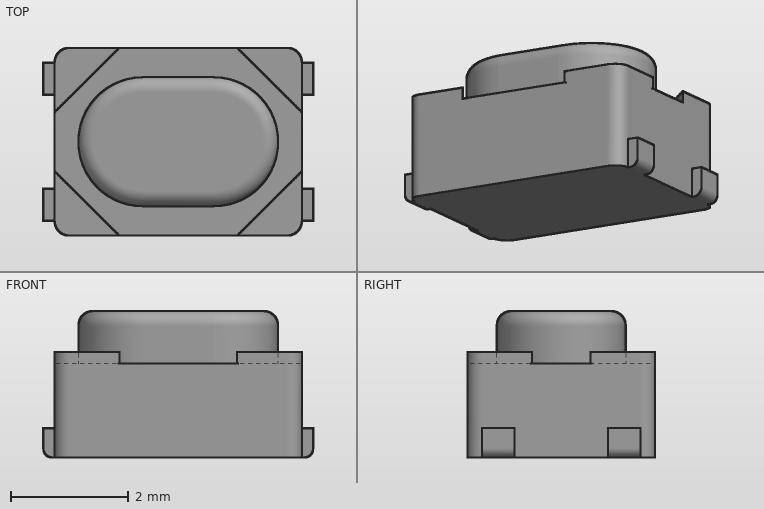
import cadquery as cq

overall_length = 4.6
body_length = 4.22
body_width = 3.2
body_height = 1.8
corner_radius = 0.255

recess_floor = 1.6
recess_opening_x = 2.005
recess_opening_y = 1.005

button_length = 3.405
button_width = 2.2
button_top = 2.5
button_edge_radius = 0.25

terminal_inner_y = 0.8
terminal_width = 0.547
terminal_height = 0.5
terminal_edge_radius = 0.15


def make_body():
    """Rounded block up to the recess floor, with four raised corner triangles."""
    block = (
        cq.Workplane("XY")
        .box(body_length, body_width, body_height, centered=(True, True, False))
        .edges("|Z")
        .fillet(corner_radius)
    )
    half_length = body_length / 2
    half_width = body_width / 2
    half_opening_x = recess_opening_x / 2
    half_opening_y = recess_opening_y / 2
    recess = (
        cq.Workplane("XY")
        .workplane(offset=recess_floor)
        .moveTo(half_opening_x, half_width)
        .lineTo(half_length, half_opening_y)
        .lineTo(half_length, -half_opening_y)
        .lineTo(half_opening_x, -half_width)
        .lineTo(-half_opening_x, -half_width)
        .lineTo(-half_length, -half_opening_y)
        .lineTo(-half_length, half_opening_y)
        .lineTo(-half_opening_x, half_width)
        .close()
        .extrude(body_height - recess_floor)
    )
    return block.cut(recess)


def make_button():
    """Oblong button standing on the recess floor, with a rounded top edge."""
    return (
        cq.Workplane("XY")
        .workplane(offset=recess_floor)
        .slot2D(button_length, button_width)
        .extrude(button_top - recess_floor)
        .faces(">Z")
        .edges()
        .fillet(button_edge_radius)
    )


def make_terminal_pair(side_y):
    """Bar through the body whose two ends form opposite terminals."""
    center_y = side_y * (terminal_inner_y + terminal_width / 2)
    return (
        cq.Workplane("XY")
        .center(0, center_y)
        .box(overall_length, terminal_width, terminal_height, centered=(True, True, False))
        .edges("|Y and <Z")
        .fillet(terminal_edge_radius)
    )


result = make_body().union(make_button())
for side_y in (-1, 1):
    result = result.union(make_terminal_pair(side_y))